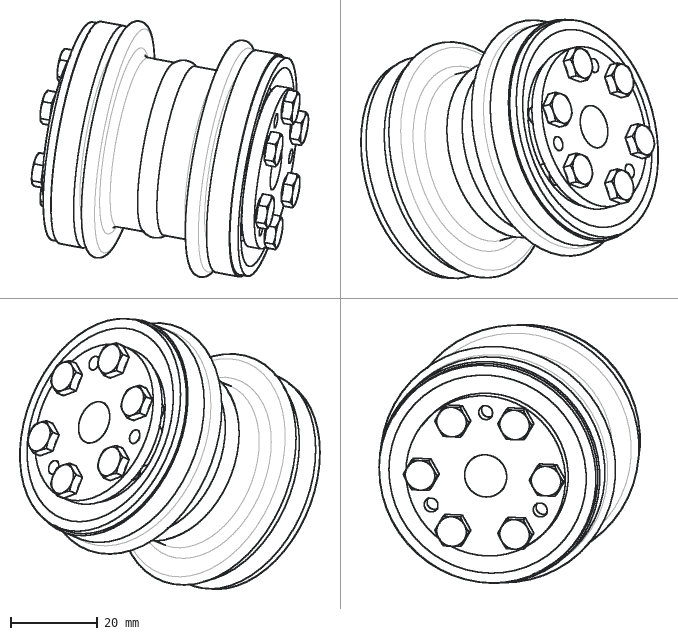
import cadquery as cq
import math

half_length = 28.3
plate_face_x = 25.5
rim_face_x = 23.5
flange_outer_x = 21.5
flange_inner_x = 16.0
ring_center_x = 12.5

body_dia = 40.0
flange_dia = 52.6
rim_dia = 51.6
ring_dia = 56.0
ring_width = 3.05
ring_fillet = 2.0
bulge_width = 4.65
bulge_height = 0.95

mouth_dia = 47.0
mouth_depth = 3.0
cavity_dia = 36.0
web_thickness = 15.85
tube_dia = 10.75
bore_dia = 10.0

plate_dia = 38.0
plate_thickness = 3.0
pin_hole_dia = 3.3
pin_hole_count = 3

bolt_circle_dia = 30.0
bolt_count = 6
head_flats = 7.0
head_washer_dia = 5.9
head_washer_thickness = 0.35
shank_dia = 4.0
shank_length = 5.65
head_chamfer_angle = 30

body_r = body_dia / 2
ring_r = ring_dia / 2
ring_half = ring_width / 2
ring_inner_x = ring_center_x - ring_half
ring_outer_x = ring_center_x + ring_half
throat_r = (flange_inner_x - ring_outer_x) / 2
cavity_mouth_x = rim_face_x - mouth_depth
web_face_x = web_thickness / 2
plate_back_x = plate_face_x - plate_thickness
washer_top_x = plate_face_x + head_washer_thickness


def cylinder_x(diameter, start_x, end_x, y=0.0, z=0.0):
    """Solid cylinder along X between two stations."""
    return (
        cq.Workplane("YZ", origin=(start_x, 0, 0))
        .center(y, z)
        .circle(diameter / 2)
        .extrude(end_x - start_x)
    )


def revolve_x(profile):
    """Closed profile in the XY plane turned about the X axis."""
    return profile.revolve(360, (0, 0, 0), (1, 0, 0))


def circle_points(count, first_angle):
    """Equally spaced (Y, Z) points on the bolt circle."""
    angles = [math.radians(first_angle + 360 * i / count) for i in range(count)]
    return [(bolt_circle_dia / 2 * math.cos(a), bolt_circle_dia / 2 * math.sin(a)) for a in angles]


def half_drum():
    """Drum from the middle plane to one rim, with its cone, cavity and half of the web."""
    fillet_inset = ring_fillet * (1 - math.sqrt(0.5))
    profile = (
        cq.Workplane("XY")
        .lineTo(0, body_r)
        .lineTo(ring_inner_x - ring_fillet, body_r)
        .threePointArc(
            (ring_inner_x - fillet_inset, body_r + fillet_inset),
            (ring_inner_x, body_r + ring_fillet),
        )
        .lineTo(ring_inner_x, ring_r - ring_half)
        .threePointArc((ring_center_x, ring_r), (ring_outer_x, ring_r - ring_half))
        .lineTo(ring_outer_x, body_r + throat_r)
        .threePointArc((ring_outer_x + throat_r, body_r), (flange_inner_x, body_r + throat_r))
        .lineTo(flange_inner_x, flange_dia / 2)
        .lineTo(flange_outer_x, flange_dia / 2)
        .lineTo(flange_outer_x, rim_dia / 2)
        .lineTo(rim_face_x, rim_dia / 2)
        .lineTo(rim_face_x, mouth_dia / 2)
        .lineTo(cavity_mouth_x, cavity_dia / 2)
        .lineTo(web_face_x, cavity_dia / 2)
        .lineTo(web_face_x, 0)
        .close()
    )
    return revolve_x(profile)


def middle_bulge():
    """Shallow rounded band around the middle of the drum."""
    bulge_half = bulge_width / 2
    profile = (
        cq.Workplane("XY")
        .moveTo(-bulge_half, 0)
        .lineTo(-bulge_half, body_r)
        .threePointArc((0, body_r + bulge_height), (bulge_half, body_r))
        .lineTo(bulge_half, 0)
        .close()
    )
    return revolve_x(profile)


def end_plate():
    """Round cover plate with pin holes, standing on the central tube."""
    plate = cylinder_x(plate_dia, plate_back_x, plate_face_x)
    for y, z in circle_points(pin_hole_count, 90):
        plate = plate.cut(cylinder_x(pin_hole_dia, plate_back_x, plate_face_x, y, z))
    return plate.union(cylinder_x(tube_dia, 0, plate_back_x))


def bolt(y, z):
    """Hexagon bolt whose shank passes through the plate and ends in the cavity."""
    corner_dia = head_flats / math.cos(math.pi / 6)
    hexagon = (
        cq.Workplane("YZ", origin=(washer_top_x, 0, 0))
        .center(y, z)
        .polygon(6, corner_dia)
        .extrude(half_length - washer_top_x)
    )
    trim_radial = (corner_dia - head_flats) / 2
    trim_axial = trim_radial * math.tan(math.radians(head_chamfer_angle))
    trim = cylinder_x(corner_dia, washer_top_x, half_length, y, z)
    trim = trim.faces(">X").chamfer(trim_axial, trim_radial)
    washer = cylinder_x(head_washer_dia, plate_face_x, washer_top_x, y, z)
    shank = cylinder_x(shank_dia, plate_face_x - shank_length, plate_face_x, y, z)
    return hexagon.intersect(trim).union(washer).union(shank)


half = half_drum().union(end_plate())
for bolt_y, bolt_z in circle_points(bolt_count, 0):
    half = half.union(bolt(bolt_y, bolt_z))

result = half.union(half.mirror("YZ")).union(middle_bulge())
result = result.cut(cylinder_x(bore_dia, -half_length, half_length))